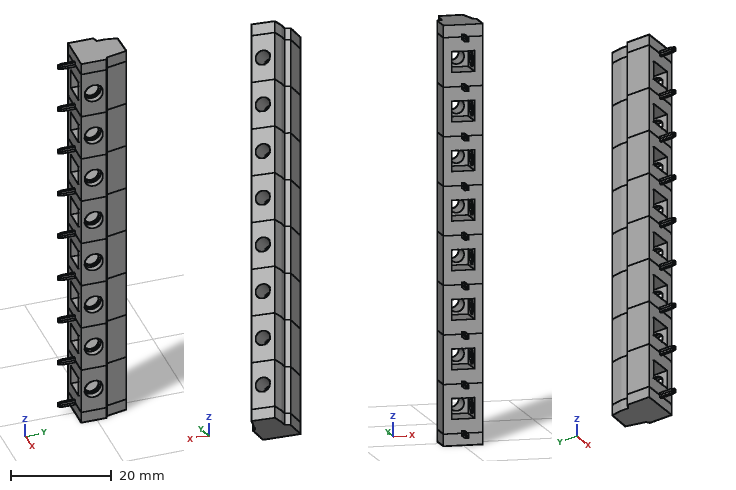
import cadquery as cq

total_length = 85.0
pole_count = 8
end_length = 2.5
pitch = (total_length - 2 * end_length) / pole_count

overall_depth = 13.5
body_width = 8.1
body_depth = 10.0
left_x = -body_width / 2
right_x = body_width / 2
ledge_outer_y = 5.3
ledge_inner_y = 5.7
left_ledge = 1.1
right_ledge = 0.7
left_kink_y = 7.4
left_back_inset = 1.5
right_back_inset = 1.6
back_drop = 0.2

pin_length = overall_depth - body_depth
pin_thickness = 0.5
pin_height = 1.0
tip_length = 0.85
tip_height = 0.6

pocket_width = 4.7
pocket_height = 4.2
pocket_depth = 5.4
screw_hole_diameter = 3.1
wire_hole_diameter = 3.1
wire_bore_diameter = 3.8
wire_bore_depth = 1.3
wire_hole_y = 2.6


def housing_block(z_start, length):
    """A plain stretch of the housing profile."""
    outline = [
        (left_x, 0),
        (right_x, 0),
        (right_x, ledge_outer_y),
        (right_x - right_ledge, ledge_inner_y),
        (right_x - right_back_inset, body_depth),
        (left_x + left_back_inset, body_depth - back_drop),
        (left_x + left_ledge, left_kink_y),
        (left_x + left_ledge, ledge_inner_y),
        (left_x, ledge_outer_y),
    ]
    return cq.Workplane("XY").workplane(offset=z_start).polyline(outline).close().extrude(length)


def half_pin(z_split, side):
    """Half of a tapered pin on one side of its split plane: +1 is above it, -1 below it."""
    z_flank = z_split + side * pin_height / 2
    z_tip = z_split + side * tip_height / 2
    outline = [
        (0, z_split),
        (0, z_flank),
        (tip_length - pin_length, z_flank),
        (-pin_length, z_tip),
        (-pin_length, z_split),
    ]
    return cq.Workplane("YZ").polyline(outline).close().extrude(pin_thickness / 2, both=True)


def terminal_pocket(z_center):
    """Rectangular recess in the solder side."""
    return (
        cq.Workplane("XZ")
        .center(0, z_center)
        .rect(pocket_width, pocket_height)
        .extrude(-pocket_depth)
    )


def screw_hole(z_center):
    """Round hole through the full depth, from the pocket to the back."""
    return cq.Workplane("XZ").center(0, z_center).circle(screw_hole_diameter / 2).extrude(-body_depth)


def wire_hole(z_center):
    """Hole from the pocket out through the +X wall, counterbored on the outside."""
    hole = cq.Workplane("YZ").center(wire_hole_y, z_center).circle(wire_hole_diameter / 2).extrude(right_x)
    bore = (
        cq.Workplane("YZ")
        .workplane(offset=right_x - wire_bore_depth)
        .center(wire_hole_y, z_center)
        .circle(wire_bore_diameter / 2)
        .extrude(wire_bore_depth)
    )
    return hole.union(bore)


def pole_module(z_start):
    """One pole: housing with its openings and a half pin at each end."""
    z_end = z_start + pitch
    z_center = z_start + pitch / 2
    block = housing_block(z_start, pitch)
    block = block.cut(terminal_pocket(z_center))
    block = block.cut(screw_hole(z_center))
    block = block.cut(wire_hole(z_center))
    return block.union(half_pin(z_start, 1)).union(half_pin(z_end, -1)).solids()


def end_piece(z_start, z_split, side):
    """Plain end of the row with a half pin on its inner face."""
    return housing_block(z_start, end_length).union(half_pin(z_split, side)).solids()


top_split = total_length - end_length
bottom_end = end_piece(0, end_length, -1)
top_end = end_piece(top_split, top_split, 1)
pole_modules = [pole_module(end_length + index * pitch) for index in range(pole_count)]

result = cq.Compound.makeCompound(
    [bottom_end.val(), *[module.val() for module in pole_modules], top_end.val()]
)